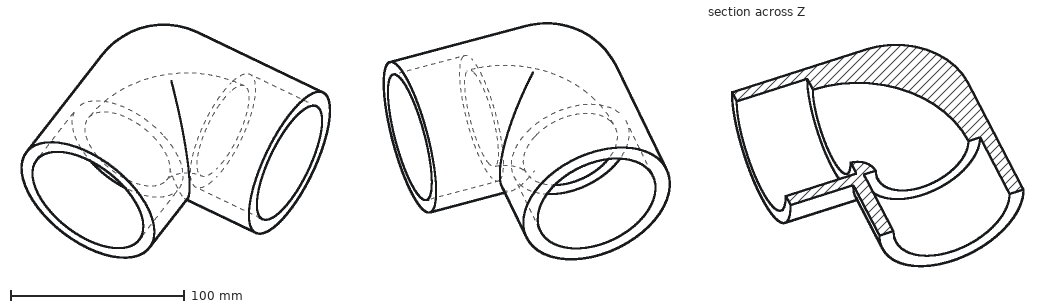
import cadquery as cq

body_diameter = 90.0
bore_diameter = 57.7
overall_x = 130.0
overall_y = 129.0

y_socket_diameter = 75.0
y_socket_depth = 44.0
x_socket_diameter = 72.3

x_arm_length = overall_x - body_diameter / 2
y_arm_length = overall_y - body_diameter / 2
bend_radius = y_arm_length - y_socket_depth
x_socket_depth = x_arm_length - bend_radius

TOWARD_X = cq.Vector(1, 0, 0)
TOWARD_MINUS_Y = cq.Vector(0, -1, 0)


def arm_cylinder(diameter, direction, start, end):
    """Cylinder along an arm axis, between two distances from the elbow centre."""
    solid = cq.Solid.makeCylinder(diameter / 2, end - start, direction * start, direction)
    return cq.Workplane(obj=solid)


def body():
    """Solid elbow: two arms joined by a ball at the corner."""
    x_arm = arm_cylinder(body_diameter, TOWARD_X, 0, x_arm_length)
    y_arm = arm_cylinder(body_diameter, TOWARD_MINUS_Y, 0, y_arm_length)
    corner = cq.Workplane("XY").sphere(body_diameter / 2)
    return x_arm.union(y_arm).union(corner)


def bore_bend():
    """Round bore turned a quarter circle from the Y socket floor to the X socket floor."""
    return (
        cq.Workplane("XZ", origin=(0, -bend_radius, 0))
        .circle(bore_diameter / 2)
        .revolve(90, (bend_radius, 0, 0), (bend_radius, -1, 0))
    )


def socket(diameter, depth, direction, arm_length):
    """Enlarged hole sunk into the open end of an arm."""
    return arm_cylinder(diameter, direction, arm_length - depth, arm_length)


result = (
    body()
    .cut(bore_bend())
    .cut(socket(x_socket_diameter, x_socket_depth, TOWARD_X, x_arm_length))
    .cut(socket(y_socket_diameter, y_socket_depth, TOWARD_MINUS_Y, y_arm_length))
)